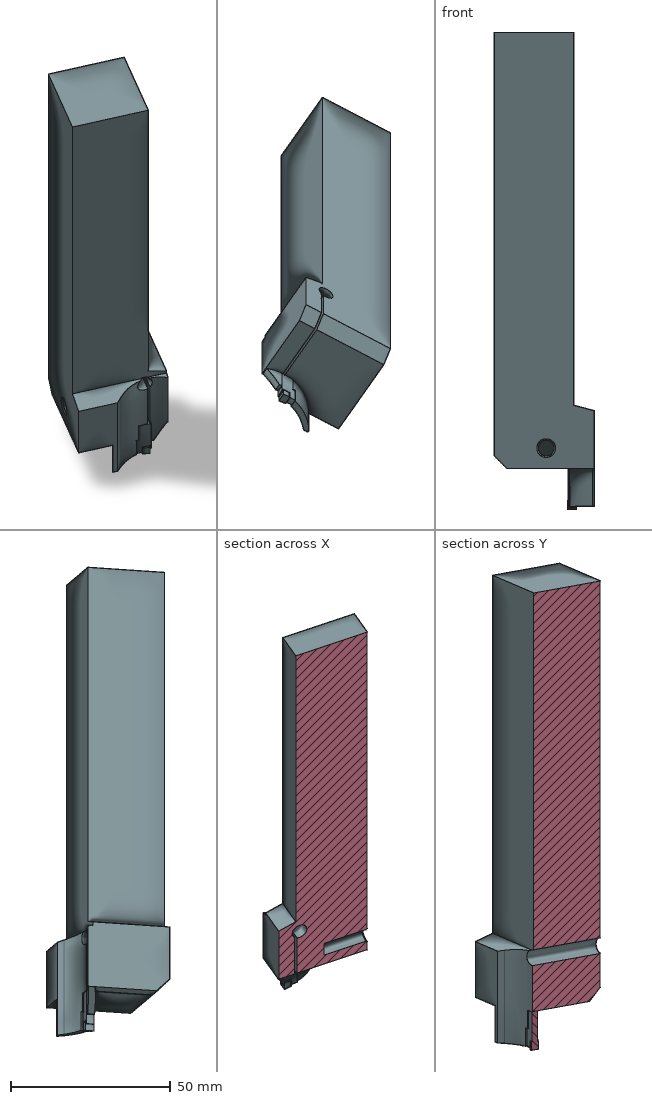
import cadquery as cq
import math

TOTAL_HEIGHT = 150.0
SHANK_SIDE = 25.0

HEAD_X = 31.5
HEAD_Y = 31.0
HEAD_BOTTOM = 12.9
SHOULDER_ANGLE = 15.0
SHOULDER_Z_SIDE = 32.8
SHOULDER_Z_BACK = 35.4
CORNER_CHAMFER = 4.0

RELIEF_DIAMETER = 5.0
RELIEF_Y = 23.7
RELIEF_Z = 30.6
SLIT_WIDTH = 0.7
SLIT_Y = 25.0

SCREW_DIAMETER = 5.0
SCREW_CHAMFER = 0.5
SCREW_X = 16.3
SCREW_Z = 19.3
SCREW_DEPTH = 15.0

BLADE_Y = 25.0
OUTER_X = 23.2
OUTER_RADIUS = 16.2
INNER_X = 25.5
INNER_RADIUS = 15.0
BLADE_FRONT_Y = 11.2
BLADE_BOTTOM = 1.0
JAW_BOTTOM = 5.1
JAW_ROOT_Y = 30.7
JAW_TIP_Y = 26.7

INSERT_MIN_X = 23.2
INSERT_MAX_X = 25.8
SIDE_TAPER = 0.3
INSERT_TOP_Y = 25.8
INSERT_STEM_Y = 21.6
INSERT_NOSE_Y = 20.7
INSERT_STEP_Z = 7.0
INSERT_BOTTOM = 0.9
EDGE_SIDE_MARGIN = 0.1
EDGE_TOP_Y = 25.3
EDGE_BOTTOM_Y = 22.8
EDGE_TOP_Z = 3.3
EDGE_BEVEL = 0.5
EDGE_RISE = 0.5
RAKE_Z = 2.1


def box(x_range, y_range, z_range):
    """Box between the given limits."""
    lengths = [limits[1] - limits[0] for limits in (x_range, y_range, z_range)]
    corner = (x_range[0], y_range[0], z_range[0])
    return cq.Workplane("XY").box(*lengths, centered=False).translate(corner)


def yz_prism(points, x_min, x_max):
    """Prism along X with an outline given as (Y, Z) points."""
    return cq.Workplane("YZ").workplane(offset=x_min).polyline(points).close().extrude(x_max - x_min)


def make_head():
    """Head block with a sloped shoulder at the side and at the back."""
    slope = math.tan(math.radians(SHOULDER_ANGLE))
    side_drop = (HEAD_X - SHANK_SIDE) * slope
    back_drop = (HEAD_Y - SHANK_SIDE) * slope
    side_outline = [
        (CORNER_CHAMFER, HEAD_BOTTOM),
        (HEAD_X, HEAD_BOTTOM),
        (HEAD_X, SHOULDER_Z_SIDE - side_drop),
        (SHANK_SIDE, SHOULDER_Z_SIDE),
        (SHANK_SIDE, TOTAL_HEIGHT),
        (0, TOTAL_HEIGHT),
        (0, HEAD_BOTTOM + CORNER_CHAMFER),
    ]
    back_outline = [
        (0, HEAD_BOTTOM),
        (HEAD_Y, HEAD_BOTTOM),
        (HEAD_Y, SHOULDER_Z_BACK - back_drop),
        (SHANK_SIDE, SHOULDER_Z_BACK),
        (SHANK_SIDE, TOTAL_HEIGHT),
        (0, TOTAL_HEIGHT),
    ]
    side_profile = cq.Workplane("XZ").polyline(side_outline).close().extrude(-HEAD_Y)
    return side_profile.intersect(yz_prism(back_outline, 0, HEAD_X))


def make_blade():
    """Blade under the head with a round outer face, split into support and jaw by the insert."""
    outer = (
        cq.Workplane("XY")
        .center(OUTER_X + OUTER_RADIUS, BLADE_Y)
        .circle(OUTER_RADIUS)
        .extrude(HEAD_BOTTOM)
    )
    support = box((OUTER_X, HEAD_X), (BLADE_FRONT_Y, INSERT_TOP_Y), (BLADE_BOTTOM, HEAD_BOTTOM))
    jaw_outline = [
        (INSERT_TOP_Y, HEAD_BOTTOM),
        (JAW_ROOT_Y, HEAD_BOTTOM),
        (JAW_TIP_Y, JAW_BOTTOM),
        (INSERT_TOP_Y, JAW_BOTTOM),
    ]
    jaw = yz_prism(jaw_outline, OUTER_X, HEAD_X)
    return outer.intersect(support.union(jaw))


def make_inner_clearance():
    """Hollow of the +X side: a round face that runs out along a 45 degree flat."""
    centre_x = INNER_X + INNER_RADIUS
    diagonal = INNER_RADIUS * math.sqrt(0.5)
    tangent_x = centre_x - diagonal
    tangent_y = BLADE_Y - diagonal
    runout = centre_x - tangent_x
    return (
        cq.Workplane("XY")
        .moveTo(centre_x, BLADE_Y + INNER_RADIUS)
        .threePointArc((INNER_X, BLADE_Y), (tangent_x, tangent_y))
        .lineTo(tangent_x + runout, tangent_y - runout)
        .close()
        .extrude(SHOULDER_Z_BACK)
    )


def make_relief_hole():
    """Round hole along X at the end of the slit."""
    return (
        cq.Workplane("YZ")
        .center(RELIEF_Y, RELIEF_Z)
        .circle(RELIEF_DIAMETER / 2)
        .extrude(HEAD_X)
    )


def make_slit():
    """Slit from the underside of the head up to the relief hole."""
    half = SLIT_WIDTH / 2
    return box((0, HEAD_X), (SLIT_Y - half, SLIT_Y + half), (HEAD_BOTTOM, RELIEF_Z))


def make_screw_hole():
    """Blind screw hole along Y with a chamfered mouth."""
    radius = SCREW_DIAMETER / 2
    profile = [
        (0, 0),
        (radius + SCREW_CHAMFER, 0),
        (radius, SCREW_CHAMFER),
        (radius, SCREW_DEPTH),
        (0, SCREW_DEPTH),
    ]
    hole = cq.Workplane("XY").polyline(profile).close().revolve(360, (0, 0, 0), (0, 1, 0))
    return hole.translate((SCREW_X, 0, SCREW_Z))


def make_insert():
    """Cutting insert: stepped, tapered bar with a slightly wider cutting edge at its lower end."""
    bar_outline = [
        (INSERT_STEM_Y, HEAD_BOTTOM),
        (INSERT_TOP_Y, HEAD_BOTTOM),
        (INSERT_TOP_Y, RAKE_Z),
        (EDGE_TOP_Y, RAKE_Z),
        (EDGE_TOP_Y, INSERT_BOTTOM),
        (INSERT_NOSE_Y, INSERT_BOTTOM),
        (INSERT_NOSE_Y, INSERT_STEP_Z),
        (INSERT_STEM_Y, INSERT_STEP_Z),
    ]
    bar_section = [
        (INSERT_MIN_X, INSERT_TOP_Y),
        (INSERT_MAX_X, INSERT_TOP_Y),
        (INSERT_MAX_X - SIDE_TAPER, INSERT_NOSE_Y),
        (INSERT_MIN_X + SIDE_TAPER, INSERT_NOSE_Y),
    ]
    tapered_bar = cq.Workplane("XY").polyline(bar_section).close().extrude(HEAD_BOTTOM)
    bar = tapered_bar.intersect(yz_prism(bar_outline, INSERT_MIN_X, INSERT_MAX_X))
    return bar.union(make_cutting_edge())


def edge_outline(inset):
    """Outline of the cutting edge as (Y, Z) points, drawn in on the sides next to the bar."""
    return [
        (EDGE_TOP_Y, 0),
        (EDGE_TOP_Y, EDGE_TOP_Z - inset),
        (EDGE_BOTTOM_Y + inset, EDGE_TOP_Z - inset),
        (EDGE_BOTTOM_Y + inset, EDGE_RISE),
    ]


def make_cutting_edge():
    """Block that overhangs the bar on both sides, with sloped rims towards the bar."""
    width = INSERT_MAX_X - INSERT_MIN_X
    return (
        cq.Workplane("YZ")
        .workplane(offset=INSERT_MIN_X - EDGE_SIDE_MARGIN)
        .polyline(edge_outline(EDGE_BEVEL)).close()
        .workplane(offset=EDGE_SIDE_MARGIN)
        .polyline(edge_outline(0)).close()
        .workplane(offset=width)
        .polyline(edge_outline(0)).close()
        .workplane(offset=EDGE_SIDE_MARGIN)
        .polyline(edge_outline(EDGE_BEVEL)).close()
        .loft(ruled=True)
    )


def make_insert_seat():
    """Space between support and jaw, shaped like the stepped underside of the insert."""
    upper = box((OUTER_X, HEAD_X), (INSERT_STEM_Y, INSERT_TOP_Y), (0, HEAD_BOTTOM))
    lower = box((OUTER_X, HEAD_X), (INSERT_NOSE_Y, INSERT_TOP_Y), (0, INSERT_STEP_Z))
    return upper.union(lower)


def make_holder():
    """Tool holder: shank, head, support blade and clamping jaw."""
    holder = make_head()
    for opening in (make_relief_hole(), make_slit(), make_screw_hole()):
        holder = holder.cut(opening)
    blade = make_blade().cut(make_insert_seat())
    return holder.union(blade).cut(make_inner_clearance())


holder = make_holder().solids()
insert = make_insert().solids()

result = cq.Compound.makeCompound([holder.val(), insert.val()])